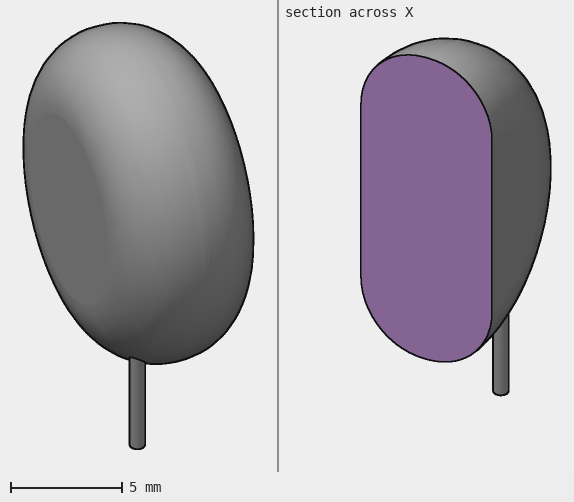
import cadquery as cq

body_diameter = 15.5
body_thickness = 6.8
rim_band_width = 0.165
edge_radius = (body_thickness - rim_band_width) / 2

lead_diameter = 0.72
lead_pitch = 7.5
lead_stagger = 3.4
lead_tip_radius = 0.144

overall_height = 18.53
lead_length_below_seat = 3.0
body_center_z = overall_height - lead_length_below_seat - body_diameter / 2


def make_body():
    """Solid disc with large rounded edges, leaving a flat face on each side."""
    disc = (
        cq.Workplane("XZ", origin=(0, body_thickness / 2, body_center_z))
        .circle(body_diameter / 2)
        .extrude(body_thickness)
    )
    return disc.faces("<Y or >Y").edges().fillet(edge_radius)


def make_lead(x, y):
    """Vertical round lead, from its rounded tip up into the body."""
    length = lead_length_below_seat + body_center_z
    return (
        cq.Workplane("XY", origin=(x, y, -lead_length_below_seat))
        .circle(lead_diameter / 2)
        .extrude(length)
        .faces("<Z")
        .edges()
        .fillet(lead_tip_radius)
    )


result = make_body()
for side in (-1, 1):
    result = result.union(make_lead(side * lead_pitch / 2, -side * lead_stagger / 2))